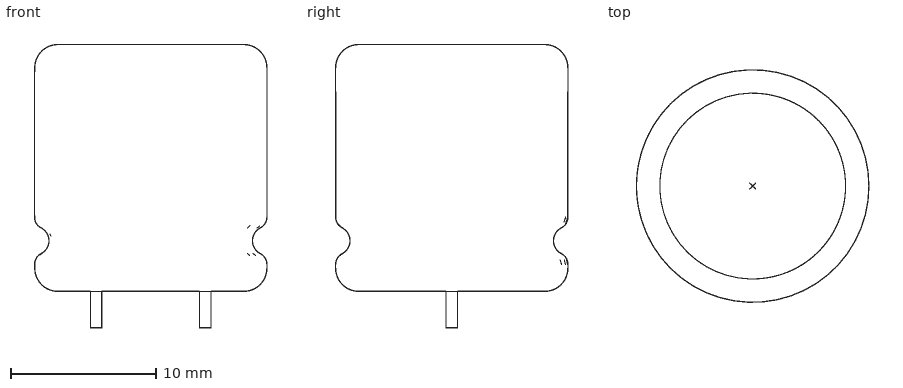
import cadquery as cq
import math

TOTAL_HEIGHT = 19.5
CAN_DIAMETER = 16.0
CAN_RADIUS = CAN_DIAMETER / 2
CAN_BOTTOM = 2.5
TOP_DISC_DIAMETER = 12.8
RIM_RADIUS = (CAN_DIAMETER - TOP_DISC_DIAMETER) / 2
LEAD_DIAMETER = 0.8
LEAD_SPACING = 7.5

GROOVE_HEIGHT = 5.99
GROOVE_RADIUS = 1.0
GROOVE_BLEND_RADIUS = 0.84

RECESS_DEPTH = 0.18
SCORE_RADIUS = 0.12
SCORE_BLEND_RADIUS = 0.18

MARK_WIDTH = 3.24
MARK_HEIGHT = 3.41
MARK_CORNER_RADIUS = 0.92
MARK_PITCH = 4.88
LOWEST_MARK_HEIGHT = 6.08
MARK_COUNT = 3
MARK_INLAY_DEPTH = 1.95
MARK_CLEARANCE = 0.2


def blended_groove(groove_radius, blend_radius):
    """Key points of half a round groove, as (offset from its middle, depth below the surface).

    The groove arc is centred on the surface; the blend arc touches both it and the surface.
    Returns the groove/blend junction, the middle of the blend arc and the outer groove edge.
    """
    center_distance = groove_radius + blend_radius
    edge_offset = math.sqrt(center_distance**2 - blend_radius**2)
    touch_fraction = groove_radius / center_distance
    touch = (edge_offset * touch_fraction, blend_radius * touch_fraction)
    half_angle = math.acos(blend_radius / center_distance) / 2
    blend_middle = (
        edge_offset - blend_radius * math.sin(half_angle),
        blend_radius * (1 - math.cos(half_angle)),
    )
    return touch, blend_middle, (edge_offset, 0)


def make_can():
    """Revolve the can wall, with its round rims and rolled groove."""
    touch, blend_middle, edge = blended_groove(GROOVE_RADIUS, GROOVE_BLEND_RADIUS)

    def wall_point(point, side):
        offset, depth = point
        return CAN_RADIUS - depth, GROOVE_HEIGHT + side * offset

    rim_inner_radius = CAN_RADIUS - RIM_RADIUS
    rim_mid_radius = rim_inner_radius + RIM_RADIUS * math.sqrt(0.5)
    rim_mid_inset = RIM_RADIUS * (1 - math.sqrt(0.5))

    profile = (
        cq.Workplane("XZ")
        .moveTo(0, CAN_BOTTOM)
        .lineTo(rim_inner_radius, CAN_BOTTOM)
        .threePointArc((rim_mid_radius, CAN_BOTTOM + rim_mid_inset), (CAN_RADIUS, CAN_BOTTOM + RIM_RADIUS))
        .lineTo(*wall_point(edge, -1))
        .threePointArc(wall_point(blend_middle, -1), wall_point(touch, -1))
        .threePointArc((CAN_RADIUS - GROOVE_RADIUS, GROOVE_HEIGHT), wall_point(touch, 1))
        .threePointArc(wall_point(blend_middle, 1), wall_point(edge, 1))
        .lineTo(CAN_RADIUS, TOTAL_HEIGHT - RIM_RADIUS)
        .threePointArc((rim_mid_radius, TOTAL_HEIGHT - rim_mid_inset), (rim_inner_radius, TOTAL_HEIGHT))
        .lineTo(0, TOTAL_HEIGHT)
        .close()
    )
    return profile.revolve(360, (0, 0), (0, 1))


def make_top_cutter():
    """Shallow round recess plus two crossed scores that end at its wall."""
    disc_height = TOTAL_HEIGHT - RECESS_DEPTH
    recess = (
        cq.Workplane("XY")
        .workplane(offset=disc_height)
        .circle(TOP_DISC_DIAMETER / 2)
        .extrude(RECESS_DEPTH)
    )
    touch, blend_middle, edge = blended_groove(SCORE_RADIUS, SCORE_BLEND_RADIUS)

    def score_point(point, side):
        offset, depth = point
        return side * offset, disc_height - depth

    score = (
        cq.Workplane("XZ")
        .moveTo(*score_point(edge, -1))
        .threePointArc(score_point(blend_middle, -1), score_point(touch, -1))
        .threePointArc((0, disc_height - SCORE_RADIUS), score_point(touch, 1))
        .threePointArc(score_point(blend_middle, 1), score_point(edge, 1))
        .close()
        .extrude(TOP_DISC_DIAMETER / 2, both=True)
    )
    crossed_scores = score.union(score.rotate((0, 0, 0), (0, 0, 1), 90))
    score_limit = (
        cq.Workplane("XY")
        .workplane(offset=disc_height - SCORE_RADIUS)
        .circle(TOP_DISC_DIAMETER / 2)
        .extrude(SCORE_RADIUS)
    )
    return recess.union(crossed_scores.intersect(score_limit))


def make_leads():
    """Two round leads, reaching up to the underside of the can."""
    return (
        cq.Workplane("XY")
        .pushPoints([(-LEAD_SPACING / 2, 0), (LEAD_SPACING / 2, 0)])
        .circle(LEAD_DIAMETER / 2)
        .extrude(CAN_BOTTOM)
    )


def add_marks(body):
    """Inlay the marks flush with the wall; clean=False keeps their outlines as face edges."""
    for index in range(MARK_COUNT):
        mark_block = (
            cq.Workplane("YZ")
            .workplane(offset=-CAN_RADIUS - MARK_CLEARANCE)
            .center(0, LOWEST_MARK_HEIGHT + index * MARK_PITCH)
            .rect(MARK_WIDTH, MARK_HEIGHT)
            .extrude(MARK_INLAY_DEPTH + MARK_CLEARANCE)
            .edges("|X")
            .fillet(MARK_CORNER_RADIUS)
        )
        inlay = body.intersect(mark_block)
        body = body.cut(mark_block, clean=False).union(inlay, clean=False)
    return body


result = add_marks(make_can().cut(make_top_cutter()).union(make_leads()))